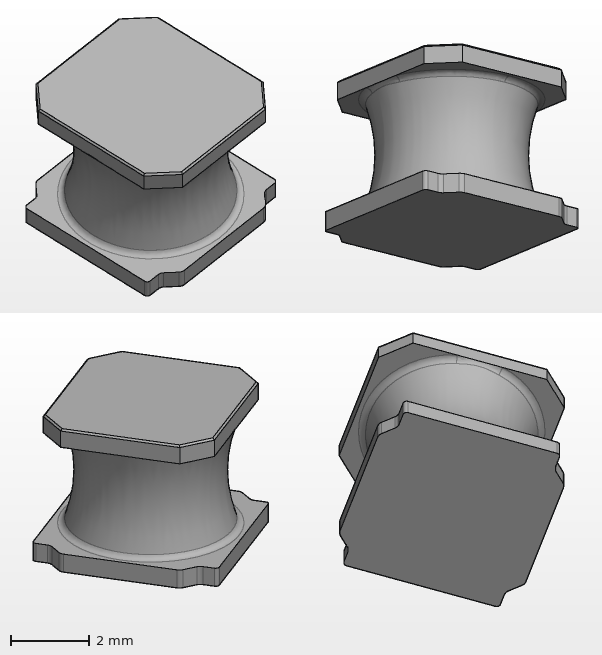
import cadquery as cq

length = 5.0
height = 4.02
half_length = length / 2
waist_z = height / 2

flange_thickness = 0.51
cap_bottom = height - flange_thickness

base_end_half_width = 2.105
base_step_start_y = 2.005
base_step_radius = 0.2
base_corner_radius = 0.1

cap_width = 4.6
cap_corner_cut = 0.7
cap_edge_chamfer = 0.05

waist_radius = 1.965
flare_end_radius = 2.25
root_fillet_radius = 0.19

axis_tolerance = 0.05


def make_base():
    """Base flange with stepped and rounded corners."""
    step = half_length - base_end_half_width
    quarter = [
        (half_length, base_step_start_y - step),
        (base_end_half_width, base_step_start_y),
        (base_end_half_width, half_length),
    ]
    outline = []
    for sign_x, sign_y in [(1, 1), (-1, 1), (-1, -1), (1, -1)]:
        corner = [(sign_x * x, sign_y * y) for x, y in quarter]
        outline += corner if sign_x == sign_y else corner[::-1]
    base = cq.Workplane("XY").polyline(outline).close().extrude(flange_thickness)

    step_limit_y = half_length - base_corner_radius
    step_zone = cq.selectors.BoxSelector(
        (-length, -step_limit_y, 0),
        (length, step_limit_y, flange_thickness),
    )
    base = base.edges("|Z").edges(step_zone).fillet(base_step_radius)
    return base.faces("<Y or >Y").edges("|Z").fillet(base_corner_radius)


def make_cap():
    """Cap flange with cut corners and a chamfered top rim."""
    return (
        cq.Workplane("XY", origin=(0, 0, cap_bottom))
        .rect(length, cap_width)
        .extrude(flange_thickness)
        .edges("|Z")
        .chamfer(cap_corner_cut)
        .faces(">Z")
        .chamfer(cap_edge_chamfer)
    )


def make_core():
    """Body of revolution that flares from the waist to both flanges."""
    return (
        cq.Workplane("XZ")
        .moveTo(0, flange_thickness)
        .lineTo(-flare_end_radius, flange_thickness)
        .threePointArc((-waist_radius, waist_z), (-flare_end_radius, cap_bottom))
        .lineTo(0, cap_bottom)
        .close()
        .revolve(360, (0, 0), (0, 1))
    )


def fillet_flange_roots(body):
    """Fillet the two circles where the core meets the flanges."""
    axis_zone = cq.selectors.BoxSelector(
        (-axis_tolerance, -axis_tolerance, 0),
        (axis_tolerance, axis_tolerance, height),
    )
    return body.edges("%CIRCLE").edges(axis_zone).fillet(root_fillet_radius)


result = fillet_flange_roots(make_base().union(make_core()).union(make_cap()))